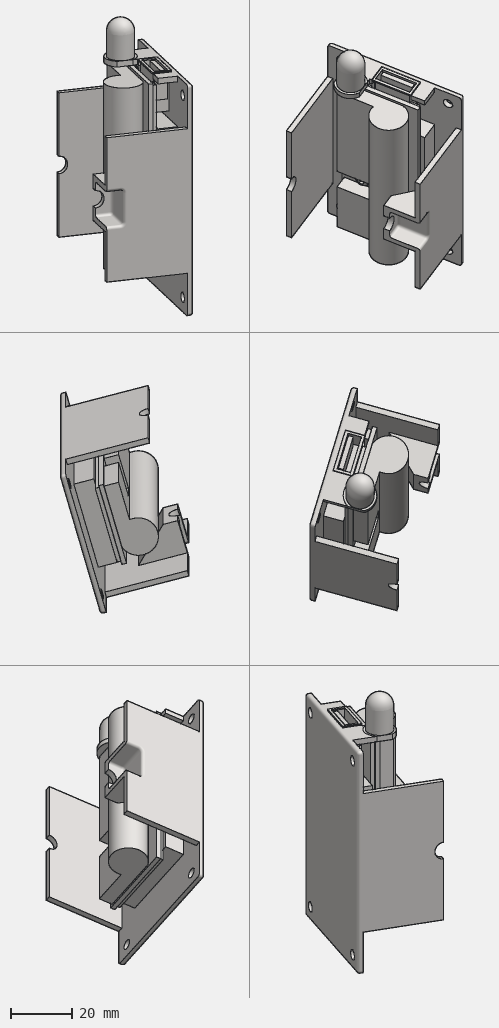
import cadquery as cq
import math


plate_width = 50.0
plate_height = 80.0
housing_depth = 30.0
thickness = 2.0
edge_radius = 1.0
screw_hole_dia = 3.5
screw_hole_inset = 5.0
mid_height = plate_height / 2

wall_height = 50.0
notch_radius = 3.0

shelf_width = 30.1
pedestal_height = 45.0
pedestal_depth = 8.8

bracket_height = 16.1
bracket_reach = 13.6
bracket_thickness = 2.2
pocket_depth = 6.0
ramp_start = 11.4
pocket_height = bracket_height - 2 * thickness

board_width = 28.5
board_thickness = 1.6
board_bottom = 12.0
board_back = 10.2
board_front = board_back + board_thickness
board_top = plate_height - thickness
case_margin = 0.89
case_width = board_width - 2 * case_margin
case_height = board_top - board_bottom - 2 * case_margin
case_front = 16.7
battery_radius = 6.5
battery_x = 6.6
battery_depth = 17.9
window_right = -1.3
window_height = 7.4
window_z = 35.7

screw_x = -6.1
washer_radius = 3.4
washer_height = 0.5
head_radius = 2.7
head_height = 1.6
socket_hex = 2.6
hex_depth = 1.0

lamp_radius = 4.7
lamp_top = 93.35
lamp_depth = 13.1
flange_radius = 5.5
flange_width = 9.5
lamp_x = (flange_width - shelf_width) / 2

socket_x = 2.6
socket_body_width = 13.2
socket_back = 2.9
socket_front = 8.3
lip_overhang = 0.7
lip_rise = 0.4
lip_thickness = 0.6
socket_bottom = 66.2
socket_foot_top = 70.3
cavity_width = 12.7
cavity_back = 3.4
cavity_front = 7.9
tongue_width = 11.7
tongue_back = 3.6
tongue_front = 5.3
tongue_drop = 0.6
lip_back = socket_back - lip_overhang
lip_front = socket_front + lip_overhang
lip_width = socket_body_width + 2 * lip_overhang


def block(x_min, x_max, near, far, z_min, z_max):
    """Box between two X values, two depths and two heights."""
    size = (x_max - x_min, far - near, z_max - z_min)
    return cq.Workplane("XY").box(*size, centered=False).translate((x_min, -far, z_min))


def centred_block(x_mid, width, near, far, z_min, z_max):
    """Block placed by the middle of its width."""
    return block(x_mid - width / 2, x_mid + width / 2, near, far, z_min, z_max)


def upright_cylinder(x, depth, radius, z_min, z_max):
    return cq.Workplane("XY", origin=(x, -depth, z_min)).circle(radius).extrude(z_max - z_min)


def make_plate():
    """Mounting plate with rounded corners, a rounded back rim and four screw holes."""
    plate = centred_block(0, plate_width, 0, thickness, 0, plate_height)
    plate = plate.edges("|Y").fillet(edge_radius).faces(">Y").edges().fillet(edge_radius)
    holes = (
        cq.Workplane("XZ", origin=(0, 0, mid_height))
        .rect(plate_width - 2 * screw_hole_inset, plate_height - 2 * screw_hole_inset, forConstruction=True)
        .vertices()
        .circle(screw_hole_dia / 2)
        .extrude(thickness)
    )
    return plate.cut(holes)


def make_bracket():
    """Solid wedge on the right wall, with a 45 degree ramp that runs forward and inward."""
    right = plate_width / 2
    left = right - bracket_reach
    outline = [
        (right, -ramp_start),
        (left, -ramp_start - bracket_reach),
        (left, -housing_depth),
        (right, -housing_depth),
    ]
    base = mid_height - bracket_height / 2
    return cq.Workplane("XY", origin=(0, 0, base)).polyline(outline).close().extrude(bracket_height)


def make_bracket_pocket():
    """Flat-floored pocket, open to the front and to the right, with rounded inner edges."""
    right = plate_width / 2
    left = right - bracket_reach + bracket_thickness
    floor = housing_depth - pocket_depth
    bottom = mid_height - pocket_height / 2
    top = mid_height + pocket_height / 2
    pocket = block(left, right + bracket_reach, floor, housing_depth + bracket_reach, bottom, top)
    return pocket.edges("(<X or >Y) and (not >X) and (not <Y)").fillet(edge_radius)


def round_pocket_mouth(housing):
    """Round the rim where the pocket runs out through the right wall."""
    floor_rim = (plate_width / 2, pocket_depth - housing_depth, mid_height)
    return housing.edges(cq.selectors.NearestToPointSelector(floor_rim)).fillet(edge_radius)


def make_housing():
    """Plate, side walls, bracket, pedestal and shelf as one solid."""
    half = plate_width / 2
    wall_bottom = mid_height - wall_height / 2
    wall_top = mid_height + wall_height / 2
    housing = make_plate()
    for wall_left in (-half, half - thickness):
        wall = block(wall_left, wall_left + thickness, thickness, housing_depth, wall_bottom, wall_top)
        housing = housing.union(wall)
    housing = housing.union(make_bracket())
    housing = round_pocket_mouth(housing.cut(make_bracket_pocket()))

    pedestal_bottom = mid_height - pedestal_height / 2
    pedestal_top = mid_height + pedestal_height / 2
    housing = housing.union(
        centred_block(0, shelf_width, thickness, pedestal_depth, pedestal_bottom, pedestal_top)
    )
    return housing.union(make_shelf()).cut(make_notches())


def make_notches():
    """Half-round notches in the front edges of both walls and the bracket."""
    return (
        cq.Workplane("YZ", origin=(-plate_width / 2, -housing_depth, mid_height))
        .circle(notch_radius)
        .extrude(plate_width)
    )


def make_shelf():
    """Shelf at the top of the plate, with a seat for the lamp and a slot for the socket."""
    arm_front = lamp_depth - math.sqrt(flange_radius**2 - (flange_width / 2) ** 2)
    shelf = centred_block(0, shelf_width, thickness, pedestal_depth, board_top, plate_height)
    arm = centred_block(lamp_x, flange_width, thickness, arm_front, board_top, plate_height)
    seat = upright_cylinder(lamp_x, lamp_depth, flange_radius, board_top, plate_height)
    slot = centred_block(socket_x, lip_width, lip_back, pedestal_depth, board_top, plate_height)
    return shelf.union(arm).cut(seat).cut(slot)


def make_electronics():
    """Board with a slab behind it and a battery case in front, open at a screw window."""
    z_min = board_bottom + case_margin
    z_max = z_min + case_height
    case_left = -case_width / 2
    board = centred_block(0, board_width, board_back, board_front, board_bottom, board_top)
    slab = centred_block(0, case_width, pedestal_depth, board_back, z_min, z_max)
    socket_notch = centred_block(socket_x, lip_width, pedestal_depth, board_back, socket_bottom, z_max)
    case = block(case_left, battery_x, board_front, case_front, z_min, z_max)
    cheek = block(battery_x - battery_radius, battery_x, board_front, battery_depth, z_min, z_max)
    battery = upright_cylinder(battery_x, battery_depth, battery_radius, z_min, z_max)
    window = block(
        case_left, window_right, board_front, case_front,
        window_z - window_height / 2, window_z + window_height / 2,
    )
    body = case.union(cheek).union(battery).cut(window)
    return body.union(board).union(slab.cut(socket_notch))


def make_screw():
    """Washer-faced button head with a hexagon socket, seated on the front of the board."""
    head_top = washer_height + head_height
    mid_arc_radius = socket_hex / 2 + (head_radius - socket_hex / 2) * math.sqrt(0.5)
    mid_arc_height = washer_height + head_height * math.sqrt(0.5)
    profile = (
        cq.Workplane("XZ")
        .lineTo(washer_radius, 0)
        .lineTo(washer_radius, washer_height)
        .lineTo(head_radius, washer_height)
        .threePointArc((mid_arc_radius, mid_arc_height), (socket_hex / 2, head_top))
        .lineTo(0, head_top)
        .close()
    )
    screw = profile.revolve(360, (0, 0, 0), (0, 1, 0))
    hexagon = cq.Workplane("XY", origin=(0, 0, head_top)).polygon(6, socket_hex).extrude(-hex_depth)
    screw = screw.cut(hexagon)
    return screw.rotate((0, 0, 0), (1, 0, 0), 90).translate((screw_x, -board_front, window_z))


def make_lamp():
    """Domed lamp on a flange whose two sides are cut flat."""
    flange = upright_cylinder(lamp_x, lamp_depth, flange_radius, board_top, plate_height)
    flats = centred_block(lamp_x, flange_width, 0, housing_depth, board_top, plate_height)
    bulb = upright_cylinder(lamp_x, lamp_depth, lamp_radius, board_top, lamp_top - lamp_radius)
    dome = cq.Workplane("XY").sphere(lamp_radius).translate((lamp_x, -lamp_depth, lamp_top - lamp_radius))
    return flange.intersect(flats).union(bulb).union(dome)


def make_socket():
    """Lipped USB socket with a tongue inside and a foot that reaches forward to the board."""
    top = plate_height + lip_rise
    body = centred_block(
        socket_x, socket_body_width, socket_back, socket_front, socket_bottom, top - lip_thickness
    )
    lip = centred_block(socket_x, lip_width, lip_back, lip_front, top - lip_thickness, top)
    foot = centred_block(
        socket_x, socket_body_width, socket_back, board_back, socket_bottom, socket_foot_top
    )
    cavity = centred_block(socket_x, cavity_width, cavity_back, cavity_front, socket_foot_top, top)
    tongue = centred_block(
        socket_x, tongue_width, tongue_back, tongue_front, socket_foot_top, top - tongue_drop
    )
    return body.union(lip).union(foot).cut(cavity).union(tongue)


housing = make_housing()
electronics = make_electronics()
screw = make_screw()
lamp = make_lamp()
socket = make_socket()

result = cq.Compound.makeCompound(
    [housing.val(), electronics.val(), screw.val(), lamp.val(), socket.val()]
)